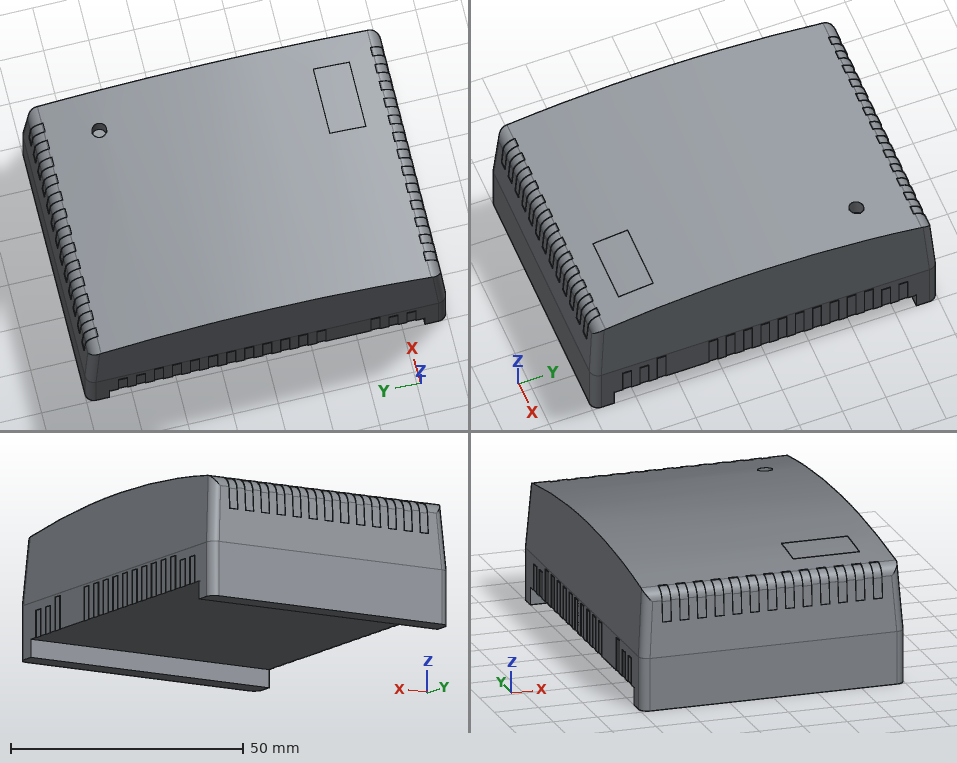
import cadquery as cq
import math

LENGTH = 79.9
WIDTH = 60.0
HEIGHT = 30.0

BASE_HEIGHT = 12.0
DRAFT_ANGLE = 4.0
DRAFT_SLOPE = math.tan(math.radians(DRAFT_ANGLE))
CORNER_RADIUS = 2.0

CROWN_RADIUS = 231.7
END_RADIUS = 3.0

FOOT_LENGTH = 5.0
OPENING_HEIGHT = 4.0

VENT_WIDTH = 2.0
VENT_PITCH = 4.0
VENT_DEPTH = 0.15
END_VENT_COUNT = 13
END_VENT_BOTTOM = 19.7
END_VENT_INNER_Y = 36.3
TALL_VENT_TOP = 11.4
SHORT_VENT_TOP = 10.0
TALL_VENT_STEPS = [-6, *range(-3, 7)]
SHORT_VENT_STEPS = [-8, -7, 7, 8]

LABEL_WIDTH = 15.0
LABEL_LENGTH = 8.0
LABEL_X = 15.0
LABEL_Y = -27.0
LABEL_DEPTH = 0.1
HOLE_DIAMETER = 3.2
HOLE_X = 20.0
HOLE_Y = 25.0
HOLE_DEPTH = 4.0


def crown_height(y):
    """Height of the crowned surface at a distance y from the middle."""
    return HEIGHT - CROWN_RADIUS + math.sqrt(CROWN_RADIUS**2 - y**2)


def crowned_bar(width, inset=0.0):
    """Lengthwise section with drafted ends and a crowned top, run along X and centred on X = 0."""
    half_length = LENGTH / 2
    top_y = half_length - (crown_height(half_length) - BASE_HEIGHT) * DRAFT_SLOPE
    top_z = crown_height(top_y)
    bar = (
        cq.Workplane("YZ", origin=(-width / 2, 0, 0))
        .moveTo(-half_length, 0)
        .lineTo(half_length, 0)
        .lineTo(half_length, BASE_HEIGHT)
        .lineTo(top_y, top_z)
        .threePointArc((0, HEIGHT), (-top_y, top_z))
        .lineTo(-half_length, BASE_HEIGHT)
        .close()
    )
    if inset:
        bar = bar.offset2D(-inset)
    return bar.extrude(width).edges("|X").edges(">Z").fillet(END_RADIUS - inset)


def drafted_block():
    """Drafted upper part with rounded corners, continued straight down from its lower outline."""
    upper = (
        cq.Workplane("XY", origin=(0, 0, BASE_HEIGHT))
        .rect(WIDTH, LENGTH)
        .extrude(HEIGHT - BASE_HEIGHT, taper=DRAFT_ANGLE)
        .edges("not(|X or |Y)")
        .fillet(CORNER_RADIUS)
    )
    return upper.faces("<Z").wires().toPending().workplane().extrude(BASE_HEIGHT)


def end_vents():
    """Recesses of even depth that follow the rounded edge at both ends."""
    skin = crowned_bar(VENT_WIDTH).cut(crowned_bar(VENT_WIDTH, VENT_DEPTH))
    middle = cq.Workplane("XY").box(WIDTH, 2 * END_VENT_INNER_Y, 2 * HEIGHT)
    below = cq.Workplane("XY").box(WIDTH, 2 * LENGTH, 2 * END_VENT_BOTTOM)
    vent_pair = skin.cut(middle).cut(below)
    first_x = -(END_VENT_COUNT - 1) / 2 * VENT_PITCH
    vents = cq.Workplane("XY")
    for index in range(END_VENT_COUNT):
        vents = vents.add(vent_pair.translate((first_x + index * VENT_PITCH, 0, 0)))
    return vents.combine()


def side_vents(steps, top):
    """Recesses rising from the opening on both long sides."""
    places = [(side * WIDTH / 2, step * VENT_PITCH) for side in (-1, 1) for step in steps]
    return cq.Workplane("XY").pushPoints(places).rect(2 * VENT_DEPTH, VENT_WIDTH).extrude(top)


def label_recess():
    """Rectangle sunk to an even depth below the crowned surface."""
    skin = crowned_bar(WIDTH).cut(crowned_bar(WIDTH).translate((0, 0, -LABEL_DEPTH)))
    window = (
        cq.Workplane("XY", origin=(LABEL_X, LABEL_Y, BASE_HEIGHT))
        .rect(LABEL_WIDTH, LABEL_LENGTH)
        .extrude(HEIGHT)
    )
    return window.intersect(skin)


def indicator_hole():
    """Blind round hole, straight down into the cover."""
    return (
        cq.Workplane("XY", origin=(HOLE_X, HOLE_Y, crown_height(HOLE_Y) - HOLE_DEPTH))
        .circle(HOLE_DIAMETER / 2)
        .extrude(HEIGHT)
    )


opening = cq.Workplane("XY").box(WIDTH, LENGTH - 2 * FOOT_LENGTH, 2 * OPENING_HEIGHT)

result = (
    drafted_block()
    .intersect(crowned_bar(WIDTH))
    .cut(opening)
    .cut(end_vents())
    .cut(side_vents(TALL_VENT_STEPS, TALL_VENT_TOP))
    .cut(side_vents(SHORT_VENT_STEPS, SHORT_VENT_TOP))
    .cut(label_recess())
    .cut(indicator_hole())
)